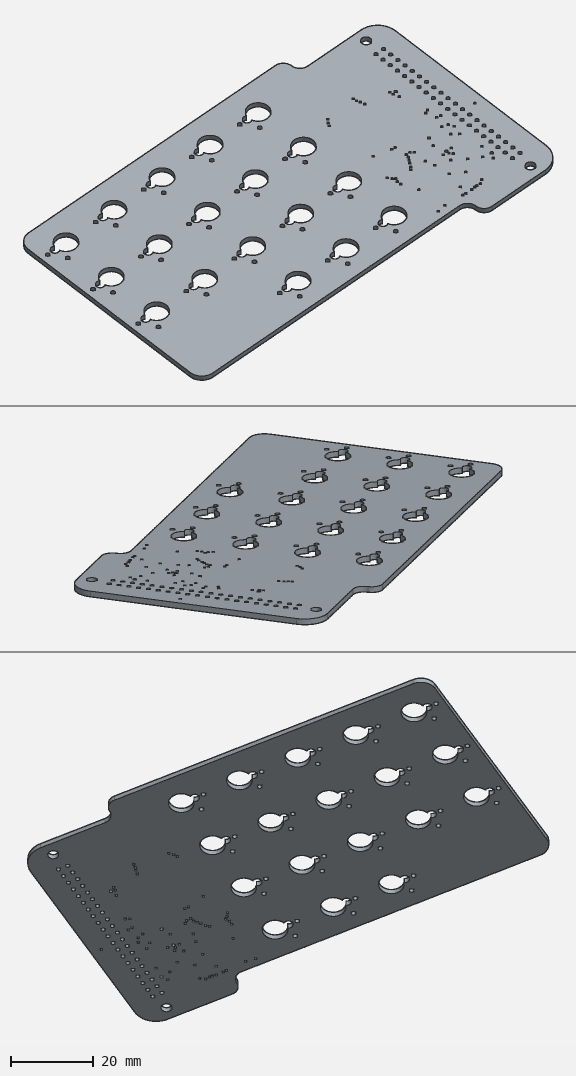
import cadquery as cq

plate_length = 115.2
plate_thickness = 1.5
block_width = 65.0
head_shift = 5.5
step_radius = head_shift / 2
step_y = 88.9
head_corner_radius = 5.9
body_corner_radius = 3.9

mount_diameter = 2.7
mount_spacing = 58.0
mount_y = 107.8

header_diameter = 1.0
header_pitch = 2.5
header_columns = 20
header_rows = 2
header_y = 107.6

keys_per_row = [3, 3, 4, 4, 4]
key_grid_height = 64.0
key_pitch = key_grid_height / (len(keys_per_row) - 1)
first_key_x = 8.5
first_key_y = 8.3
key_diameter = 6.2
stem_diameter = 2.3
stem_drop = 3.7
pin_diameter = 1.2
lower_pin_offset = (0.0, -6.1)
side_pin_offset = (4.1, -3.3)

test_hole_diameter = 0.8
via_diameter = 0.6

test_hole_points = [(26.4, 101.2), (43.3, 96.3), (49.4, 96.3), (57.4, 104.0)]
top_vias = [
    (42.4, 112.5),
]
left_upper_vias = [
    (26.6, 100.2), (28.2, 100.7), (25.6, 100.0), (24.3, 92.9), (21.1, 92.1), (22.1, 92.2),
    (23.0, 92.5),
]
left_lower_vias = [
    (21.9, 82.9), (22.8, 82.1), (23.7, 81.6),
]
mid_upper_vias = [
    (39.8, 103.6), (39.5, 102.5), (36.2, 102.6), (36.6, 101.5), (44.6, 103.5), (43.2, 102.8),
    (47.4, 102.7), (42.6, 101.2), (46.0, 101.1),
]
mid_lower_vias = [
    (40.0, 88.2), (39.9, 87.1), (38.5, 82.3),
]
chain_vias = [
    (44.4, 90.5), (43.7, 89.7), (43.6, 88.5), (44.6, 88.3), (45.4, 87.7), (46.2, 87.1),
    (47.4, 86.4), (48.1, 85.7),
]
fan_vias = [
    (46.1, 79.8), (47.1, 80.5), (47.7, 81.1), (48.8, 80.7), (49.9, 80.7),
]
right_upper_vias = [
    (54.2, 103.7), (58.9, 103.0), (56.8, 101.4), (54.9, 98.3), (49.4, 98.0), (51.2, 97.0),
    (50.4, 96.3), (45.9, 95.3), (49.8, 95.0), (52.3, 95.1), (57.7, 95.0),
]
right_lower_vias = [
    (55.4, 91.6), (50.9, 91.0), (48.4, 90.4), (60.5, 90.6), (54.3, 82.6),
]
edge_vias = [
    (62.2, 96.0), (63.0, 94.9), (62.9, 93.7), (62.9, 93.0), (63.0, 92.0), (63.0, 90.0),
    (62.9, 89.1), (62.5, 83.5), (62.8, 81.0),
]
via_points = [
    *top_vias,
    *left_upper_vias,
    *left_lower_vias,
    *mid_upper_vias,
    *mid_lower_vias,
    *chain_vias,
    *fan_vias,
    *right_upper_vias,
    *right_lower_vias,
    *edge_vias,
]

head_left = head_shift
head_right = head_shift + block_width
head_centre_x = head_shift + block_width / 2


def plate():
    """Plate with S-shaped steps where the head joins the body, and rounded end corners."""
    upper = step_y + step_radius
    lower = step_y - step_radius
    outline = (
        cq.Workplane("XY")
        .moveTo(0, 0)
        .lineTo(block_width, 0)
        .lineTo(block_width, lower)
        .radiusArc((block_width + step_radius, step_y), step_radius)
        .radiusArc((head_right, upper), -step_radius)
        .lineTo(head_right, plate_length)
        .lineTo(head_left, plate_length)
        .lineTo(head_left, upper)
        .radiusArc((step_radius, step_y), step_radius)
        .radiusArc((0, lower), -step_radius)
        .close()
    )
    body = outline.extrude(plate_thickness)
    body = body.edges("|Z").edges(">Y").fillet(head_corner_radius)
    return body.edges("|Z").edges("<Y").fillet(body_corner_radius)


def pegs(points, diameter):
    """Round cutters through the full plate thickness."""
    return cq.Workplane("XY").pushPoints(points).circle(diameter / 2).extrude(plate_thickness)


def shifted(points, offset):
    """The points moved sideways by an (x, y) offset."""
    return [(x + offset[0], y + offset[1]) for x, y in points]


mount_points = [(head_centre_x + side * mount_spacing / 2, mount_y) for side in (-1, 1)]

header_points = [
    (
        head_centre_x + (column - (header_columns - 1) / 2) * header_pitch,
        header_y + (row - (header_rows - 1) / 2) * header_pitch,
    )
    for column in range(header_columns)
    for row in range(header_rows)
]

key_points = [
    (first_key_x + column * key_pitch, first_key_y + row * key_pitch)
    for row, count in enumerate(keys_per_row)
    for column in range(count)
]

result = plate()
for points, diameter in [
    (mount_points, mount_diameter),
    (header_points, header_diameter),
    (key_points, key_diameter),
    (shifted(key_points, (0, -stem_drop)), stem_diameter),
    (shifted(key_points, lower_pin_offset), pin_diameter),
    (shifted(key_points, side_pin_offset), pin_diameter),
    (test_hole_points, test_hole_diameter),
    (via_points, via_diameter),
]:
    result = result.cut(pegs(points, diameter))